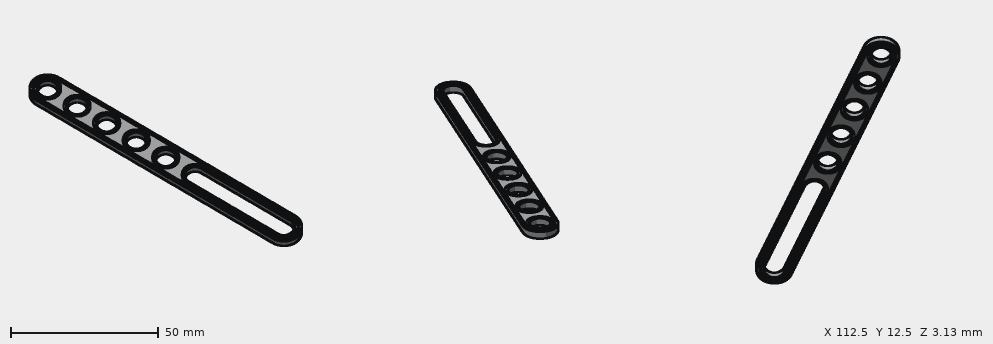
import cadquery as cq

length = 112.5
position_count = 9
hole_count = 5
hole_diameter = 7.0
rim_diameter = 9.2
edge_rim_width = 1.1
recess_depth = 0.2
edge_chamfer = 0.3

pitch = length / position_count
width = pitch
thickness = width / 4
slot_start = hole_count
slot_end = position_count - 1


def position_x(index):
    """X of a hole position; the row is centred on the origin."""
    return (index - (position_count - 1) / 2) * pitch


def stadium(first, last, diameter, height):
    """Round-ended solid, centred on Z = 0, spanning two hole positions."""
    span = position_x(last) - position_x(first)
    middle = (position_x(first) + position_x(last)) / 2
    plan = cq.Workplane("XY").workplane(offset=-height / 2).center(middle, 0)
    if span == 0:
        return plan.circle(diameter / 2).extrude(height)
    return plan.slot2D(span + diameter, diameter).extrude(height)


def all_openings(diameter, height):
    """Cylinders at the round holes plus the long slot, spanning the given height."""
    openings = stadium(slot_start, slot_end, diameter, height)
    for index in range(hole_count):
        openings = openings.add(stadium(index, index, diameter, height))
    return openings.combine()


bar = stadium(0, position_count - 1, width, thickness)
bar = bar.cut(all_openings(hole_diameter, thickness))
bar = bar.faces("<Z or >Z").edges().chamfer(edge_chamfer)

web_thickness = thickness - 2 * recess_depth
recess = stadium(0, position_count - 1, width - 2 * edge_rim_width, thickness)
recess = recess.cut(all_openings(rim_diameter, thickness))
recess = recess.cut(stadium(0, position_count - 1, width, web_thickness))

result = bar.cut(recess)